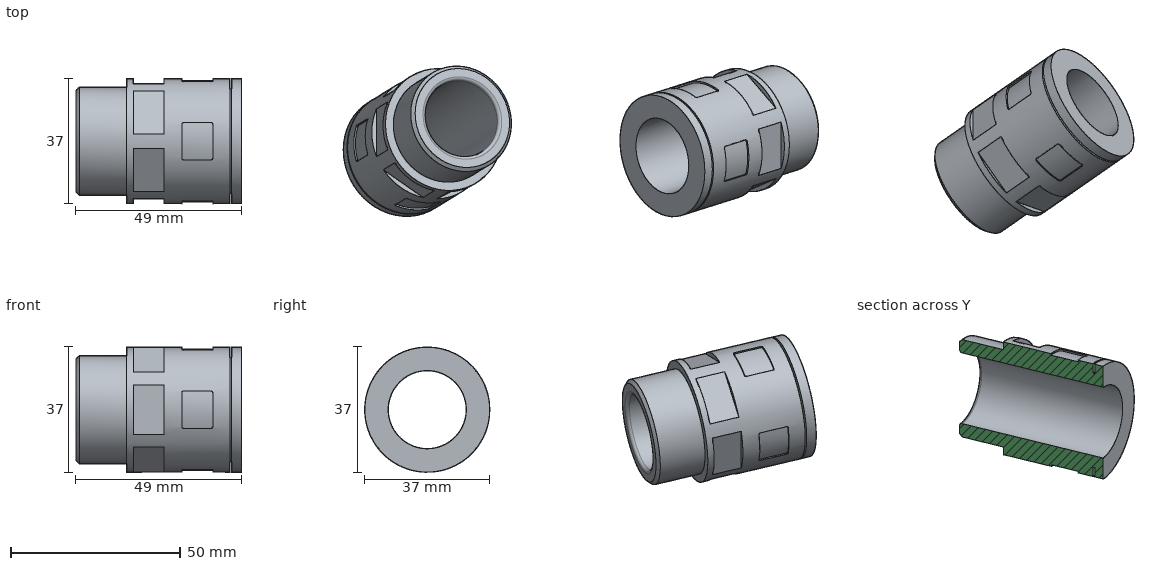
import cadquery as cq

length = 49.0
collar_start = 15.0
flats_start = 17.0
flats_end = 26.0
pocket_start = 31.3
pocket_end = 40.45
groove_start = 45.5
groove_end = 46.0

body_diameter = 37.0
spigot_diameter = 32.0
bore_diameter = 23.0
groove_diameter = 30.95
spigot_chamfer = 1.0
bore_entry_radius = 1.0

flat_count = 6
across_flats = 34.0

pocket_count = 4
pocket_height = 11.0
pocket_depth = 0.5
pocket_corner_radius = 0.5


def cylinder(diameter, start, end):
    """Solid cylinder about the X axis between two X positions."""
    return cq.Workplane("YZ", origin=(start, 0, 0)).circle(diameter / 2).extrude(end - start)


def make_body():
    """Stepped outside with a chamfered spigot and a groove behind the end flange."""
    spigot = cylinder(spigot_diameter, 0, collar_start).faces("<X").chamfer(spigot_chamfer)
    barrel = cylinder(body_diameter, collar_start, groove_start)
    neck = cylinder(groove_diameter, groove_start, groove_end)
    flange = cylinder(body_diameter, groove_end, length)
    return spigot.union(barrel).union(neck).union(flange)


def make_bore():
    """Through bore whose spigot end opens out with a convex rounded edge."""
    bore_radius = bore_diameter / 2
    mouth_radius = bore_radius + bore_entry_radius
    arc_middle_offset = bore_entry_radius * (1 - 0.5 ** 0.5)
    return (
        cq.Workplane("XY")
        .lineTo(0, mouth_radius)
        .threePointArc(
            (arc_middle_offset, bore_radius + arc_middle_offset),
            (bore_entry_radius, bore_radius),
        )
        .lineTo(length, bore_radius)
        .lineTo(length, 0)
        .close()
        .revolve(360, (0, 0, 0), (1, 0, 0))
    )


def make_flats_cutter():
    """Ring left outside the wrench hexagon, with one pair of flats facing -Y and +Y."""
    flats_length = flats_end - flats_start
    hexagon = (
        cq.Workplane("YZ", origin=(flats_start, 0, 0))
        .polygon(flat_count, across_flats, circumscribed=True)
        .extrude(flats_length)
    )
    ring = cylinder(2 * body_diameter, flats_start, flats_end)
    return ring.cut(hexagon)


def make_pocket_cutter():
    """Rounded block facing +Z with a cylindrical floor concentric with the body."""
    pocket_length = pocket_end - pocket_start
    block = (
        cq.Workplane("XY")
        .center((pocket_start + pocket_end) / 2, 0)
        .rect(pocket_length, pocket_height)
        .extrude(body_diameter)
        .edges("|Z")
        .fillet(pocket_corner_radius)
    )
    return block.cut(cylinder(body_diameter - 2 * pocket_depth, pocket_start, pocket_end))


result = make_body().cut(make_bore()).cut(make_flats_cutter())

pocket_cutter = make_pocket_cutter()
for index in range(pocket_count):
    angle = index * 360 / pocket_count
    result = result.cut(pocket_cutter.rotate((0, 0, 0), (1, 0, 0), angle))